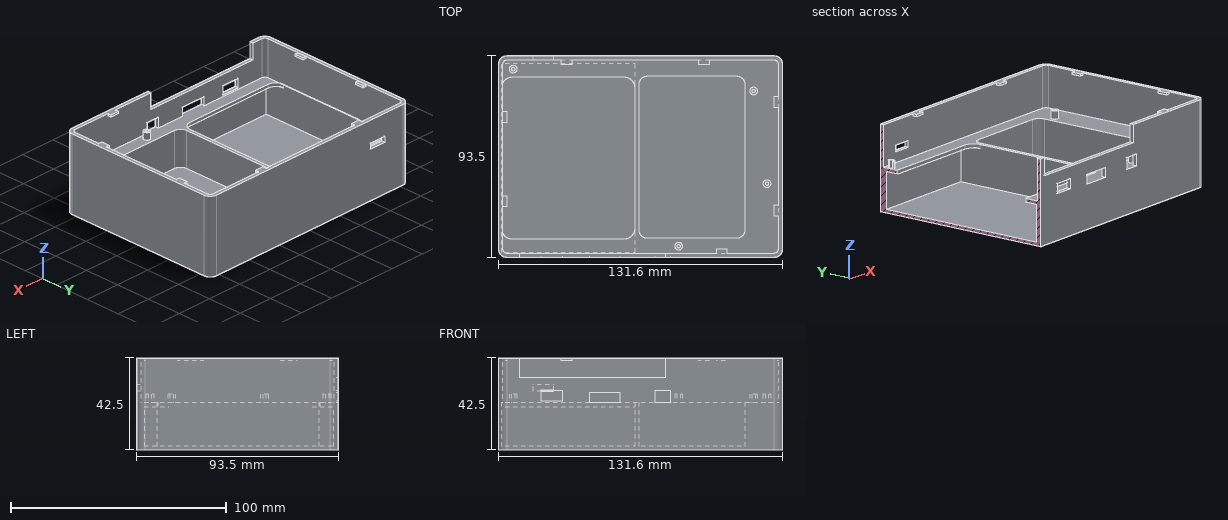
import cadquery as cq

LENGTH = 131.6
WIDTH = 93.5
HEIGHT = 42.5
WALL = 2.0
OUTER_RADIUS = 4.0
INNER_RADIUS = OUTER_RADIUS - WALL
DECK_TOP = 22.0
CAVITY_LEFT = -LENGTH / 2 + WALL
CAVITY_RIGHT = LENGTH / 2 - WALL
CAVITY_HALF_WIDTH = WIDTH / 2 - WALL

POCKET_FLOOR = WALL
POCKET_WIDTH = 75.0
LEFT_POCKET_RADIUS = 5.0
RIGHT_POCKET_RADIUS = 4.0
LEFT_POCKET_X = (-64.4, -2.6)
LEFT_POCKET_CENTER_Y = -0.7
RIGHT_POCKET_X = (-0.8, 48.5)
RIGHT_POCKET_CENTER_Y = -0.3

LIP_THICKNESS = 2.0
CHAMBER_OVERHANG = 6.2

POST_DIAMETER = 3.5
POST_HOLE_DIAMETER = 1.6
POST_HEIGHT = 4.0
POST_CENTERS = [(-59.0, 40.5), (52.4, 30.4), (58.6, -12.5), (17.6, -41.5)]

TAB_LENGTH = 5.0
TAB_REACH = 2.0
TAB_THICKNESS = 1.0
BACK_TAB_X = [-34.2, 29.4]
FRONT_TAB_X = 37.6
RIGHT_TAB_Y = [25.3, -25.0]
LEFT_TAB_Y = [18.3, -20.7]

RIM_NOTCH = (-56.0, 11.6, 33.7, HEIGHT)
FRONT_PORTS = [
    (-46.2, -36.2, 22.8, 27.6),
    (-23.7, -9.5, 22.0, 26.7),
    (6.7, 14.0, 22.0, 27.6),
]
BACK_PORT = (-49.8, -40.4, 27.2, 30.4)


def box_between(x_range, y_range, z_range):
    """Box spanning the given (start, end) ranges."""
    sizes = [end - start for start, end in (x_range, y_range, z_range)]
    corner = (x_range[0], y_range[0], z_range[0])
    return cq.Workplane("XY").box(*sizes, centered=False).translate(corner)


def rounded_box(x_range, y_range, z_range, radius):
    """Box with rounded vertical edges."""
    return box_between(x_range, y_range, z_range).edges("|Z").fillet(radius)


def range_around(center, width):
    return (center - width / 2, center + width / 2)


def wall_opening(opening, wall_outer_face, wall_inner_face):
    """Cutter for a rectangular opening through a front or back wall."""
    x_start, x_end, z_start, z_end = opening
    return box_between((x_start, x_end), (wall_outer_face, wall_inner_face), (z_start, z_end))


def tab(x_range, y_range):
    return box_between(x_range, y_range, (HEIGHT - TAB_THICKNESS, HEIGHT))


def make_shell():
    outside = rounded_box(
        (-LENGTH / 2, LENGTH / 2), (-WIDTH / 2, WIDTH / 2), (0, HEIGHT), OUTER_RADIUS
    )
    cavity = rounded_box(
        (CAVITY_LEFT, CAVITY_RIGHT),
        (-CAVITY_HALF_WIDTH, CAVITY_HALF_WIDTH),
        (DECK_TOP, HEIGHT),
        INNER_RADIUS,
    )
    return outside.cut(cavity)


def left_pocket():
    y_range = range_around(LEFT_POCKET_CENTER_Y, POCKET_WIDTH)
    lip_bottom = DECK_TOP - LIP_THICKNESS
    opening = rounded_box(LEFT_POCKET_X, y_range, (lip_bottom, DECK_TOP), LEFT_POCKET_RADIUS)
    chamber_y = range_around(LEFT_POCKET_CENTER_Y, POCKET_WIDTH + 2 * CHAMBER_OVERHANG)
    chamber = box_between(LEFT_POCKET_X, chamber_y, (POCKET_FLOOR, lip_bottom))
    return opening.union(chamber)


def right_pocket():
    y_range = range_around(RIGHT_POCKET_CENTER_Y, POCKET_WIDTH)
    return rounded_box(RIGHT_POCKET_X, y_range, (POCKET_FLOOR, DECK_TOP), RIGHT_POCKET_RADIUS)


def make_posts():
    return (
        cq.Workplane("XY", origin=(0, 0, DECK_TOP))
        .pushPoints(POST_CENTERS)
        .circle(POST_DIAMETER / 2)
        .circle(POST_HOLE_DIAMETER / 2)
        .extrude(POST_HEIGHT)
    )


def make_housing():
    housing = make_shell().cut(left_pocket()).cut(right_pocket()).union(make_posts())

    for opening in [RIM_NOTCH, *FRONT_PORTS]:
        housing = housing.cut(wall_opening(opening, -WIDTH / 2, -CAVITY_HALF_WIDTH))
    housing = housing.cut(wall_opening(BACK_PORT, CAVITY_HALF_WIDTH, WIDTH / 2))

    for x in BACK_TAB_X:
        back_y = (CAVITY_HALF_WIDTH - TAB_REACH, CAVITY_HALF_WIDTH)
        housing = housing.union(tab(range_around(x, TAB_LENGTH), back_y))
    front_y = (-CAVITY_HALF_WIDTH, -CAVITY_HALF_WIDTH + TAB_REACH)
    housing = housing.union(tab(range_around(FRONT_TAB_X, TAB_LENGTH), front_y))
    for y in RIGHT_TAB_Y:
        right_x = (CAVITY_RIGHT - TAB_REACH, CAVITY_RIGHT)
        housing = housing.union(tab(right_x, range_around(y, TAB_LENGTH)))
    return housing


def make_left_tab(y):
    """Separate tab resting against the left wall."""
    return tab((CAVITY_LEFT, CAVITY_LEFT + TAB_REACH), range_around(y, TAB_LENGTH))


housing = make_housing()
left_tabs = [make_left_tab(y) for y in LEFT_TAB_Y]

result = cq.Compound.makeCompound([housing.val(), *[left_tab.val() for left_tab in left_tabs]])